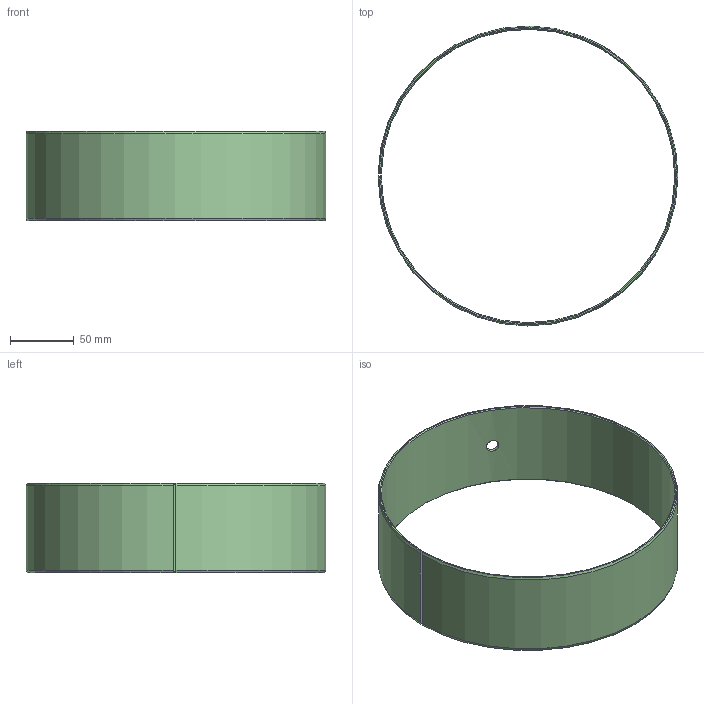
import math

import cadquery as cq

outer_diameter = 235.0
height = 70.0
wall = 2.5
taper_height = 2.0
taper_angle = 20.0
inner_chamfer = 0.8
sweep_angle = 359.0
hole_diameter = 10.0
hole_angle = 59.0

outer_radius = outer_diameter / 2
inner_radius = outer_radius - wall
half_height = height / 2
taper_inset = taper_height * math.tan(math.radians(taper_angle))


def split_ring():
    """Band with both rims tapered outside and chamfered inside, revolved just short of a full turn.

    One end face lies on the -X axis; the gap is left on its +Y side.
    """
    rim_outer_radius = outer_radius - taper_inset
    rim_inner_radius = inner_radius + inner_chamfer
    outer_shoulder = half_height - taper_height
    inner_shoulder = half_height - inner_chamfer
    section = [
        (-rim_inner_radius, -half_height),
        (-rim_outer_radius, -half_height),
        (-outer_radius, -outer_shoulder),
        (-outer_radius, outer_shoulder),
        (-rim_outer_radius, half_height),
        (-rim_inner_radius, half_height),
        (-inner_radius, inner_shoulder),
        (-inner_radius, -inner_shoulder),
    ]
    axis_start = (0, 0)
    axis_end = (0, 1)
    return cq.Workplane("XZ").polyline(section).close().revolve(sweep_angle, axis_start, axis_end)


def radial_hole():
    """Cutter for the mid-height hole, measured anticlockwise from +X."""
    cutter = cq.Workplane("YZ").circle(hole_diameter / 2).extrude(outer_diameter)
    return cutter.rotate((0, 0, 0), (0, 0, 1), hole_angle)


result = split_ring().cut(radial_hole())